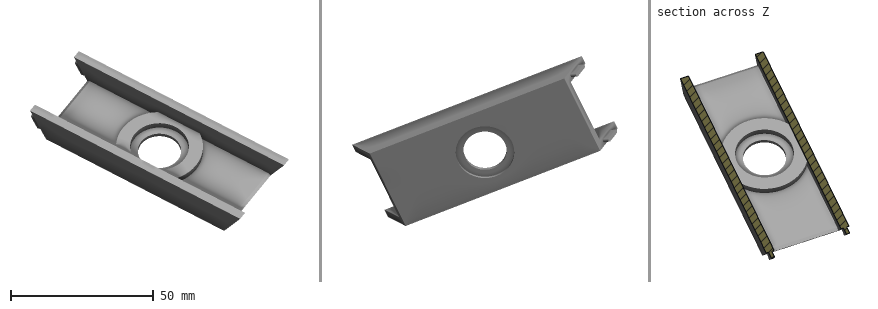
import cadquery as cq
import math

overall_length = 88.5
width = 31.5
height = 11.7
wall_thickness = 3.2
end_angle = 60.0
floor_thickness = 2.6
floor_edge_bevel = 1.2

ring_diameter = 30.6
ring_top = 5.05
seat_diameter = 20.7
bore_diameter = 15.2
lip_thickness = 1.4
recess_diameter = 20.6

tab_length = 2.5
tab_thickness = 1.4
tab_height = 6.3
tab_top_setback = 3.6

slope = math.radians(end_angle)
end_run = height / math.tan(slope)
inner_width = width - 2 * wall_thickness

tab_overhang = tab_length * math.sin(slope) - tab_top_setback * math.cos(slope)
wall_length = overall_length - tab_overhang
half_length = wall_length / 2


def make_wall(side):
    """Side wall with both ends cut on the slant."""
    outline = [
        (-half_length, height),
        (half_length, height),
        (half_length - end_run, 0),
        (-half_length + end_run, 0),
    ]
    wall_center = side * (width - wall_thickness) / 2
    return (
        cq.Workplane("XZ", origin=(0, wall_center, 0))
        .polyline(outline)
        .close()
        .extrude(wall_thickness / 2, both=True)
    )


def make_floor():
    """Floor whose upper end edges are bevelled square to the slanted ends."""
    bevel_run = floor_edge_bevel * math.sin(slope)
    bevel_drop = floor_edge_bevel * math.cos(slope)
    edge_height = floor_thickness - bevel_drop
    bottom_half = half_length - end_run
    edge_half = bottom_half + edge_height / math.tan(slope)
    outline = [
        (-bottom_half, 0),
        (bottom_half, 0),
        (edge_half, edge_height),
        (edge_half - bevel_run, floor_thickness),
        (-edge_half + bevel_run, floor_thickness),
        (-edge_half, edge_height),
    ]
    return cq.Workplane("XZ").polyline(outline).close().extrude(inner_width / 2, both=True)


def make_ring():
    """Disc on the floor, trimmed flat where it meets the walls."""
    disc = cq.Workplane("XY").circle(ring_diameter / 2).extrude(ring_top)
    trim = cq.Workplane("XY").rect(ring_diameter, inner_width).extrude(ring_top)
    return disc.intersect(trim)


def make_tab(side):
    """Round-ended tab standing on the left end face of one wall."""
    setback = tab_top_setback + tab_height / 2
    end_face = cq.Plane(
        origin=(
            -half_length + setback * math.cos(slope),
            side * (width - wall_thickness) / 2,
            height - setback * math.sin(slope),
        ),
        xDir=(0, 1, 0),
        normal=(-math.sin(slope), 0, -math.cos(slope)),
    )
    return (
        cq.Workplane(end_face)
        .slot2D(tab_height, tab_thickness, 90)
        .extrude(tab_length)
    )


result = make_floor().union(make_ring())
for side in (-1, 1):
    result = result.union(make_wall(side)).union(make_tab(side))

seat = cq.Workplane("XY").workplane(offset=floor_thickness).circle(seat_diameter / 2).extrude(height)
bore = cq.Workplane("XY").circle(bore_diameter / 2).extrude(height)
recess = cq.Workplane("XY").circle(recess_diameter / 2).extrude(floor_thickness - lip_thickness)
result = result.cut(seat).cut(bore).cut(recess)